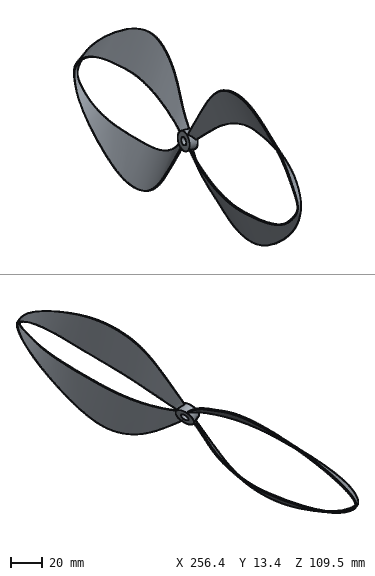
import cadquery as cq


hub_radius = 7.0
bore_radius = 2.8
hub_front = -6.2
hub_length = 6.5

band_thickness = 1.0
front_y = -5.0
tip_front_y = -4.4
tip_back_y = -1.92
tip_x = 128.2 - band_thickness / 2

stations = [
    (9.2, -0.3, 14.0, 4.4, -7.2, -18.0),
    (23.3, 3.5, 34.3, 16.0, -15.6, -34.3),
    (37.2, 5.6, 48.2, 23.5, -21.3, -46.0),
    (53.8, 6.7, 54.3, 28.0, -24.9, -51.8),
    (71.8, 6.0, 52.5, 28.2, -25.0, -49.5),
    (93.0, 3.5, 42.0, 26.0, -22.8, -39.2),
    (114.0, 0.8, 25.0, 18.2, -16.0, -23.0),
    (123.0, -0.8, 13.0, 10.5, -8.7, -12.0),
]

upper_root_front = cq.Vector(2.3, front_y, 4.4)
upper_root_back = cq.Vector(4.5, -0.5, 1.0)
lower_root_front = cq.Vector(4.0, front_y, -2.3)
lower_root_back = cq.Vector(0.8, -0.5, -4.9)


def edge_points():
    """Points along the leading and trailing edges, from upper root around the tip to lower root."""
    leading = [upper_root_front]
    trailing = [upper_root_back]
    for x, back_y, upper_outer, upper_inner, _, _ in stations:
        leading.append(cq.Vector(x, front_y, upper_outer))
        trailing.append(cq.Vector(x, back_y, upper_inner))
    leading.append(cq.Vector(tip_x, tip_front_y, 0))
    trailing.append(cq.Vector(tip_x, tip_back_y, 0))
    for x, back_y, _, _, lower_inner, lower_outer in reversed(stations):
        leading.append(cq.Vector(x, front_y, lower_inner))
        trailing.append(cq.Vector(x, back_y, lower_outer))
    leading.append(lower_root_front)
    trailing.append(lower_root_back)
    return leading, trailing


def band_normals(leading, trailing):
    """Unit normals of the band at each station."""
    middles = [(front + back) * 0.5 for front, back in zip(leading, trailing)]
    last = len(middles) - 1
    normals = []
    for i, (front, back) in enumerate(zip(leading, trailing)):
        along = middles[min(i + 1, last)] - middles[max(i - 1, 0)]
        normals.append(along.cross(back - front).normalized())
    return normals


def make_loop():
    """One closed-section blade band, bounded by ruled faces and two flat ends."""
    leading, trailing = edge_points()
    normals = band_normals(leading, trailing)

    travel = [0.0]
    for i in range(1, len(leading)):
        step = (leading[i] + trailing[i] - leading[i - 1] - trailing[i - 1]) * 0.1951
        travel.append(travel[-1] + step.Length)

    half = band_thickness / 2
    corners = []
    for points, side in ((leading, half), (trailing, half), (trailing, -half), (leading, -half)):
        shifted = [point + normal * side for point, normal in zip(points, normals)]
        corners.append(shifted)
    curves = [cq.Edge.makeSpline(points, parameters=travel) for points in corners]

    faces = []
    for i in range(len(curves)):
        faces.append(cq.Face.makeRuledSurface(curves[i - 1], curves[i]))
    for end in (0, -1):
        outline = cq.Wire.makePolygon([points[end] for points in corners], close=True)
        faces.append(cq.Face.makeFromWires(outline))
    return cq.Workplane(cq.Solid.makeSolid(cq.Shell.makeShell(faces)).fix())


def hub_cylinder(radius):
    """Cylinder along the shaft, over the full hub length."""
    return (
        cq.Workplane("XZ", origin=(0, hub_front, 0))
        .circle(radius)
        .extrude(-hub_length)
    )


loop = make_loop()
opposite_loop = loop.rotate((0, 0, 0), (0, 1, 0), 180)
result = hub_cylinder(hub_radius).union(loop).union(opposite_loop).cut(hub_cylinder(bore_radius))